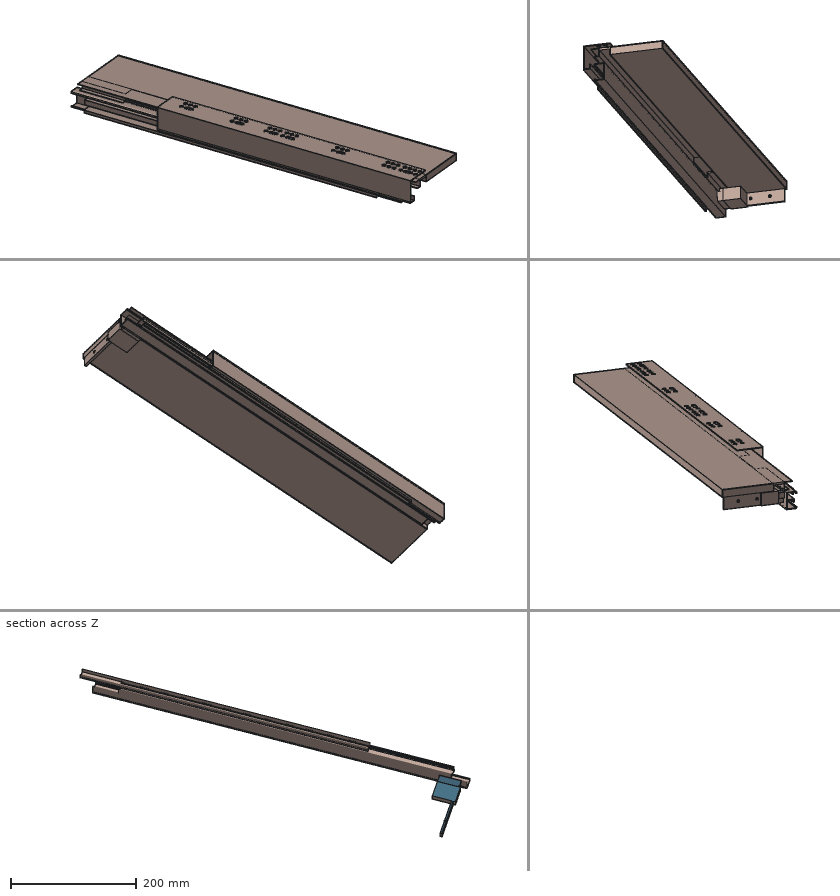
import cadquery as cq

TOTAL_LENGTH = 651.5
TOTAL_WIDTH = 134.0
TOTAL_HEIGHT = 51.5
SHEET = 1.6

CABINET_START = 169.7
CABINET_END = 649.9
CABINET_FLANGE_WIDTH = 45.0
CABINET_BOTTOM = 10.5
CABINET_HOOK_WIDTH = 12.5
CABINET_HOOK_TOP = 19.0

HOLE_DIAMETER = 6.3
HOLE_SPACING = 9.45
FIRST_HOLE_X = 200.5
GROUP_PITCH = 32.0
HOLE_ROW_Y = 36.0
SLOT_ROW_Y = 23.8
SLOT_GROUPS = (0, 3, 5, 6, 9)
ROUND_GROUP = 12
END_GROUP = 13

DRAWER_RAIL_END = 625.0
DRAWER_WEB_Y = 27.7
DRAWER_RAIL_TOP = 29.0
DRAWER_LIP_Y = 10.0
DRAWER_TOP_LIP_BOTTOM = 25.5
DRAWER_BOTTOM_LIP_TOP = 3.0
DRAWER_BEND_RADIUS = 2.3

MIDDLE_START = 28.5
MIDDLE_END = 584.0
MIDDLE_WEB_Y = 21.0
MIDDLE_TOP = 24.4
MIDDLE_UPPER_LIP_Y = 4.4
MIDDLE_UPPER_LIP_BOTTOM = 14.65
MIDDLE_FLANGE_TOP = 6.85
MIDDLE_LOWER_LIP_Y = 2.5
MIDDLE_LOWER_LIP_BOTTOM = 1.0

TRAY_START = 10.5
TRAY_TOP = 44.0
TRAY_BOTTOM = 30.5
TRAY_SHEET = 1.0
TRAY_EDGE_Y = 13.0
TRAY_WALL_Y = 44.6
BRACKET_THICKNESS = 2.3
WINDOW_START = 92.5
WINDOW_END = 163.0
WINDOW_BOTTOM = 32.5
FOOT_EDGE_Y = 19.0

FRONT_BOTTOM = 9.45
PLATE_OUTER_Y = 131.0
PLATE_THICKNESS = 4.0
PLATE_HOLE_Z = 21.0
PLATE_HOLES = ((106.0, 4.6), (73.95, 4.3))
COUPLER_START = 7.0
COUPLER_LENGTH = 39.0
COUPLER_OUTER_Y = 68.0
COUPLER_INNER_Y = 38.5
ARM_TOP = 27.0
NOSE_BOTTOM = 17.0
ARM_START = 9.0
ARM_TAB_Y = 32.5
ARM_BODY_Y = 28.5
NOSE_OUTER_Y = 36.5


def extrude_profile(points, start, end):
    """Extrude a closed (Y, Z) outline along X."""
    return cq.Workplane("YZ", origin=(start, 0, 0)).polyline(points).close().extrude(end - start)


def block(x_range, y_range, z_range):
    """Box between two limits on each axis."""
    size = [high - low for low, high in (x_range, y_range, z_range)]
    corner = (x_range[0], y_range[0], z_range[0])
    return cq.Workplane("XY").box(*size, centered=False).translate(corner)


def cabinet_slot(start_x, end_x, y):
    """Cutter for a slot through the top flange; equal ends give a round hole."""
    below = TOTAL_HEIGHT - 2 * SHEET
    plane = cq.Workplane("XY", origin=((start_x + end_x) / 2, y, below))
    if start_x == end_x:
        return plane.circle(HOLE_DIAMETER / 2).extrude(3 * SHEET)
    return plane.slot2D(end_x - start_x + HOLE_DIAMETER, HOLE_DIAMETER).extrude(3 * SHEET)


def cut_hole_group(rail, pitches, hole_count, second_row):
    """Cut one row of round holes, and a second row given as (first hole, last hole) openings."""
    start = FIRST_HOLE_X + pitches * GROUP_PITCH
    for i in range(hole_count):
        x = start + i * HOLE_SPACING
        rail = rail.cut(cabinet_slot(x, x, HOLE_ROW_Y))
    for first, last in second_row:
        opening = cabinet_slot(start + first * HOLE_SPACING, start + last * HOLE_SPACING, SLOT_ROW_Y)
        rail = rail.cut(opening)
    return rail


def make_cabinet_rail():
    outline = [
        (0, CABINET_BOTTOM),
        (CABINET_HOOK_WIDTH, CABINET_BOTTOM),
        (CABINET_HOOK_WIDTH, CABINET_HOOK_TOP),
        (CABINET_HOOK_WIDTH - SHEET, CABINET_HOOK_TOP),
        (CABINET_HOOK_WIDTH - SHEET, CABINET_BOTTOM + SHEET),
        (SHEET, CABINET_BOTTOM + SHEET),
        (SHEET, TOTAL_HEIGHT - SHEET),
        (CABINET_FLANGE_WIDTH, TOTAL_HEIGHT - SHEET),
        (CABINET_FLANGE_WIDTH, TOTAL_HEIGHT),
        (0, TOTAL_HEIGHT),
    ]
    rail = extrude_profile(outline, CABINET_START, CABINET_END)
    for pitches in SLOT_GROUPS:
        rail = cut_hole_group(rail, pitches, 3, [(0, 0), (1, 2)])
    rail = cut_hole_group(rail, ROUND_GROUP, 3, [(0, 0), (1, 1), (2, 2)])
    return cut_hole_group(rail, END_GROUP, 4, [(0, 0), (1, 2), (3, 3)])


def make_middle_rail():
    web_outer = MIDDLE_WEB_Y - SHEET
    flange_bottom = MIDDLE_FLANGE_TOP - SHEET
    outline = [
        (MIDDLE_WEB_Y, flange_bottom),
        (MIDDLE_WEB_Y, MIDDLE_TOP),
        (MIDDLE_UPPER_LIP_Y, MIDDLE_TOP),
        (MIDDLE_UPPER_LIP_Y, MIDDLE_UPPER_LIP_BOTTOM),
        (MIDDLE_UPPER_LIP_Y + SHEET, MIDDLE_UPPER_LIP_BOTTOM),
        (MIDDLE_UPPER_LIP_Y + SHEET, MIDDLE_TOP - SHEET),
        (web_outer, MIDDLE_TOP - SHEET),
        (web_outer, MIDDLE_FLANGE_TOP),
        (MIDDLE_LOWER_LIP_Y, MIDDLE_FLANGE_TOP),
        (MIDDLE_LOWER_LIP_Y, MIDDLE_LOWER_LIP_BOTTOM),
        (MIDDLE_LOWER_LIP_Y + SHEET, MIDDLE_LOWER_LIP_BOTTOM),
        (MIDDLE_LOWER_LIP_Y + SHEET, flange_bottom),
    ]
    return extrude_profile(outline, MIDDLE_START, MIDDLE_END)


def make_drawer_rail():
    web_outer = DRAWER_WEB_Y - SHEET
    lip_inner = DRAWER_LIP_Y + SHEET
    outline = [
        (DRAWER_WEB_Y, 0),
        (DRAWER_WEB_Y, DRAWER_RAIL_TOP),
        (DRAWER_LIP_Y, DRAWER_RAIL_TOP),
        (DRAWER_LIP_Y, DRAWER_TOP_LIP_BOTTOM),
        (lip_inner, DRAWER_TOP_LIP_BOTTOM),
        (lip_inner, DRAWER_RAIL_TOP - SHEET),
        (web_outer, DRAWER_RAIL_TOP - SHEET),
        (web_outer, SHEET),
        (lip_inner, SHEET),
        (lip_inner, DRAWER_BOTTOM_LIP_TOP),
        (DRAWER_LIP_Y, DRAWER_BOTTOM_LIP_TOP),
        (DRAWER_LIP_Y, 0),
    ]
    rail = extrude_profile(outline, 0, DRAWER_RAIL_END)
    for z in (0, DRAWER_RAIL_TOP):
        bend = cq.selectors.NearestToPointSelector((DRAWER_RAIL_END / 2, DRAWER_LIP_Y, z))
        rail = rail.edges(bend).fillet(DRAWER_BEND_RADIUS)
    return rail


def make_tray():
    under_top = TRAY_TOP - TRAY_SHEET
    bracket_under = under_top - BRACKET_THICKNESS
    bracket_outer = DRAWER_WEB_Y - TRAY_SHEET
    outline = [
        (TOTAL_WIDTH, TRAY_BOTTOM),
        (TOTAL_WIDTH, TRAY_TOP),
        (TRAY_EDGE_Y, TRAY_TOP),
        (TRAY_EDGE_Y, under_top),
        (bracket_outer, under_top),
        (bracket_outer, TRAY_BOTTOM),
        (FOOT_EDGE_Y, TRAY_BOTTOM),
        (FOOT_EDGE_Y, DRAWER_RAIL_TOP),
        (DRAWER_WEB_Y, DRAWER_RAIL_TOP),
        (DRAWER_WEB_Y, bracket_under),
        (TRAY_WALL_Y, bracket_under),
        (TRAY_WALL_Y, TRAY_BOTTOM),
        (TRAY_WALL_Y + TRAY_SHEET, TRAY_BOTTOM),
        (TRAY_WALL_Y + TRAY_SHEET, under_top),
        (TOTAL_WIDTH - TRAY_SHEET, under_top),
        (TOTAL_WIDTH - TRAY_SHEET, TRAY_BOTTOM),
    ]
    tray = extrude_profile(outline, TRAY_START, TOTAL_LENGTH)
    window = block(
        (WINDOW_START, WINDOW_END),
        (bracket_outer, TRAY_WALL_Y),
        (WINDOW_BOTTOM, under_top),
    )
    foot_gap = block(
        (WINDOW_START, WINDOW_END),
        (FOOT_EDGE_Y, bracket_outer),
        (DRAWER_RAIL_TOP, TRAY_BOTTOM),
    )
    return tray.cut(window).cut(foot_gap)


def make_bottom_board():
    return block(
        (TRAY_START, TOTAL_LENGTH),
        (TRAY_WALL_Y + TRAY_SHEET, TOTAL_WIDTH - TRAY_SHEET),
        (TRAY_BOTTOM, TRAY_TOP - TRAY_SHEET),
    )


def make_front_plate():
    plate = block(
        (TRAY_START, TRAY_START + PLATE_THICKNESS),
        (COUPLER_OUTER_Y, PLATE_OUTER_Y),
        (FRONT_BOTTOM, TRAY_BOTTOM),
    )
    for y, diameter in PLATE_HOLES:
        hole_plane = cq.Workplane("YZ", origin=(TRAY_START, y, PLATE_HOLE_Z))
        plate = plate.cut(hole_plane.circle(diameter / 2).extrude(PLATE_THICKNESS))
    return plate


def make_coupler():
    return block(
        (COUPLER_START, COUPLER_START + COUPLER_LENGTH),
        (COUPLER_INNER_Y, COUPLER_OUTER_Y),
        (FRONT_BOTTOM, TRAY_BOTTOM),
    )


def make_coupler_arm():
    """Stepped arm with a nose that rests against the web of the drawer rail."""
    arm_end = COUPLER_START + COUPLER_LENGTH
    outline = [
        (COUPLER_INNER_Y, FRONT_BOTTOM),
        (COUPLER_INNER_Y, TRAY_BOTTOM),
        (ARM_TAB_Y, TRAY_BOTTOM),
        (ARM_TAB_Y, ARM_TOP),
        (ARM_BODY_Y, ARM_TOP),
        (ARM_BODY_Y, FRONT_BOTTOM),
    ]
    body = extrude_profile(outline, TRAY_START, arm_end)
    nose = block((ARM_START, arm_end), (DRAWER_WEB_Y, NOSE_OUTER_Y), (NOSE_BOTTOM, ARM_TOP))
    return body.union(nose)


cabinet_rail = make_cabinet_rail()
middle_rail = make_middle_rail()
drawer_rail = make_drawer_rail()
tray = make_tray()
bottom_board = make_bottom_board()
front_plate = make_front_plate()
coupler = make_coupler()
coupler_arm = make_coupler_arm()

result = cq.Compound.makeCompound(
    [
        cabinet_rail.val(),
        middle_rail.val(),
        drawer_rail.val(),
        tray.val(),
        bottom_board.val(),
        front_plate.val(),
        coupler.val(),
        coupler_arm.val(),
    ]
)